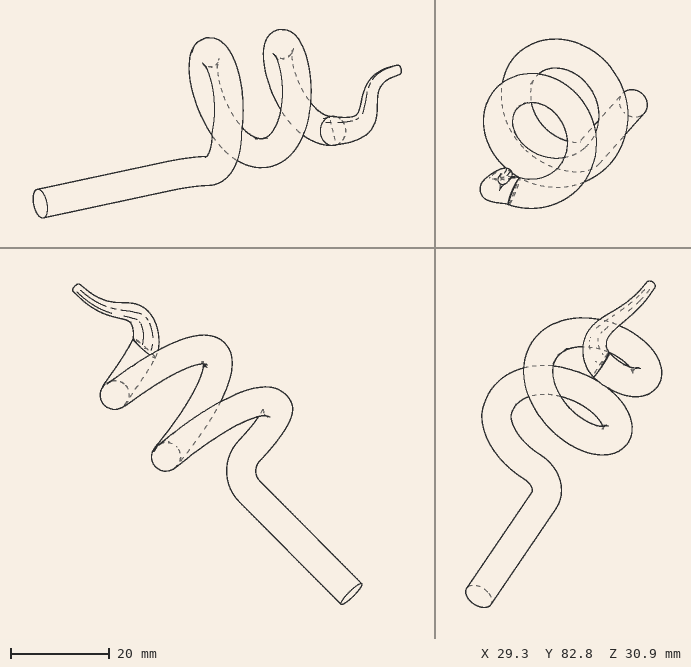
import cadquery as cq
import math

wire_radius = 3.0
tip_radius = 1.0
tip_rounding = 0.4

length = 82.8
stem_length = 30.0
elbow_radius = 5.8
flat_arc_angle = 71.0

coil_radius = 12.0
coil_pitch = 16.6
coil_turns = 1.8
cone_angle = 5.0

tail_start_pull = 3.7
tail_tip_pull = 14.3
tail_swing_radius = 14.3
tail_swing_angle = -39.4
tail_swing_height = 11.2

coil_start_y = stem_length + elbow_radius
coil_height = coil_pitch * coil_turns
coil_end_y = coil_start_y + coil_height

coil_end_angle = 360 * coil_turns
coil_end_radius = coil_radius - coil_height * math.tan(math.radians(cone_angle))

along_y = cq.Vector(0, 1, 0)


def around(radius, degrees, y=0):
    """Point at a radius and an angle about the coil axis, counted from +X towards +Z."""
    angle = math.radians(degrees)
    return cq.Vector(radius * math.cos(angle), y, radius * math.sin(angle))


def direction_of_turn(degrees):
    """Direction of travel around the coil axis at an angle."""
    return around(1, degrees + 90)


def make_lead_in():
    """Stem, elbow and flat arc, swept along one smooth centreline."""
    arc_start = around(coil_radius, -flat_arc_angle, coil_start_y)
    arc_middle = around(coil_radius, -flat_arc_angle / 2, coil_start_y)
    arc_end = around(coil_radius, 0, coil_start_y)

    elbow_exit = direction_of_turn(-flat_arc_angle)
    elbow_centre = arc_start - along_y * elbow_radius
    elbow_start = elbow_centre - elbow_exit * elbow_radius
    elbow_middle = elbow_centre + (along_y - elbow_exit).normalized() * elbow_radius
    stem_start = elbow_start - along_y * stem_length

    centreline = cq.Wire.assembleEdges(
        [
            cq.Edge.makeLine(stem_start, elbow_start),
            cq.Edge.makeThreePointArc(elbow_start, elbow_middle, arc_start),
            cq.Edge.makeThreePointArc(arc_start, arc_middle, arc_end),
        ]
    )
    section = cq.Wire.makeCircle(wire_radius, stem_start, along_y)
    return cq.Solid.sweep(section, [], centreline)


def make_coil_centreline():
    """Conical helix about Y that starts on the +X side and turns towards +Z."""
    slope = math.cos(math.radians(cone_angle))
    helix = cq.Wire.makeHelix(
        coil_pitch / slope,
        coil_height / slope,
        coil_radius,
        angle=-cone_angle,
        lefthand=True,
    )
    helix = helix.rotate(cq.Vector(0, 0, 0), cq.Vector(1, 0, 0), -90)
    return helix.translate(along_y * coil_start_y)


def make_coil(centreline):
    """Coil whose circular section stays in a plane through the coil axis."""
    coil_start = around(coil_radius, 0, coil_start_y)
    section = cq.Wire.makeCircle(wire_radius, coil_start, direction_of_turn(0))
    return cq.Solid.sweep(section, [], centreline, isFrenet=True)


def make_tail(start_direction):
    """Tail that leaves the coil along its tangent and tapers to a tip on the coil axis."""
    start = around(coil_end_radius, coil_end_angle, coil_end_y)
    swing = around(tail_swing_radius, tail_swing_angle, coil_end_y + tail_swing_height)
    tip = along_y * length

    centreline = cq.Edge.makeBezier(
        [
            start,
            start + start_direction * tail_start_pull,
            swing,
            tip - along_y * tail_tip_pull,
            tip,
        ]
    )
    base_section = cq.Wire.makeCircle(wire_radius, start, direction_of_turn(coil_end_angle))
    tip_section = cq.Wire.makeCircle(tip_radius, tip, along_y)
    tail = cq.Solid.sweep_multi([base_section, tip_section], cq.Wire.assembleEdges([centreline]))
    return cq.Workplane(tail).faces(">Y").edges().fillet(tip_rounding)


coil_centreline = make_coil_centreline()
lead_in = cq.Workplane(make_lead_in())
coil = cq.Workplane(make_coil(coil_centreline))
tail = make_tail(coil_centreline.tangentAt(1.0))

result = lead_in.union(coil).union(tail)